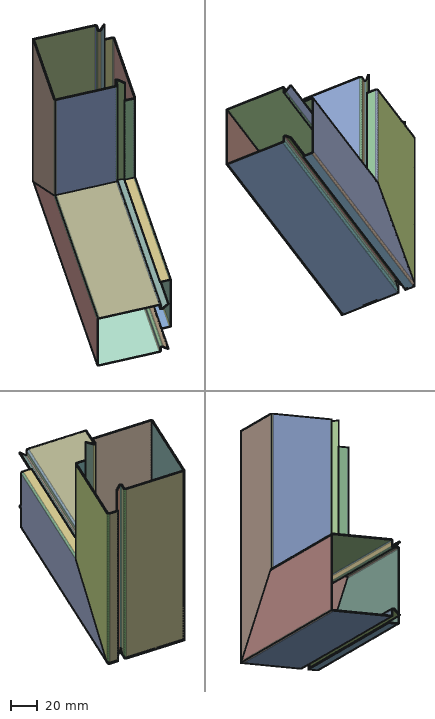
import cadquery as cq
import math

leg_length = 180.0
cover_length = 159.5
leg_width = 60.1
total_depth = 63.7
channel_depth = 50.0
cover_depth = 8.8
sheet = 0.9
corner_radius = 1.6
inner_radius = corner_radius - sheet

bend_radius = 0.5
bend_x = 5.2
bend_y = channel_depth + bend_radius
lip_top = 56.0


def bend_point(radius, angle):
    """Point on the fold of the lip, angle in degrees from the X axis."""
    turn = math.radians(angle)
    return bend_x + radius * math.cos(turn), bend_y + radius * math.sin(turn)


def make_lip():
    """Fold and 45 degree flare along the edge of the flange at X = bend_x."""
    outer_bend = bend_radius + sheet
    inside_end = bend_point(bend_radius, 45)
    outside_end = bend_point(outer_bend, 45)
    flare = lip_top - outside_end[1]
    return (
        cq.Workplane("XY")
        .moveTo(*bend_point(bend_radius, -90))
        .threePointArc(bend_point(bend_radius, -22.5), inside_end)
        .lineTo(inside_end[0] - flare, inside_end[1] + flare)
        .lineTo(outside_end[0] - flare, outside_end[1] + flare)
        .lineTo(*outside_end)
        .threePointArc(bend_point(outer_bend, -22.5), bend_point(outer_bend, -90))
        .close()
        .extrude(leg_length)
    )


def block(x_start, x_end, y_start, y_end, length):
    """Upright block between two X and two Y limits, starting at Z = 0."""
    return (
        cq.Workplane("XY")
        .box(x_end - x_start, y_end - y_start, length, centered=False)
        .translate((x_start, y_start, 0))
    )


def mitre(leg, length):
    """Cut the foot of an upright leg along the 45 degree plane X = Z."""
    keep = (
        cq.Workplane("XZ")
        .polyline([(0, 0), (leg_width, leg_width), (leg_width, length), (0, length)])
        .close()
        .extrude(-total_depth)
    )
    return leg.intersect(keep)


def lay_down(leg):
    """Swap X and Z, turning an upright leg into the horizontal one."""
    return cq.Workplane(leg.val().mirror(cq.Vector(1, 0, -1)))


def make_channel(round_outer_front):
    """Upright channel, open at the back between its two snap lips."""
    channel = block(0, leg_width, 0, channel_depth, leg_length)
    rounded_edges = "|Z" if round_outer_front else "|Z and (>X or >Y)"
    channel = channel.edges(rounded_edges).fillet(corner_radius)
    cavity = block(sheet, leg_width - sheet, sheet, channel_depth - sheet, leg_length)
    cavity = cavity.edges("|Z and >Y").fillet(inner_radius)
    opening = block(bend_x, leg_width - bend_x, sheet, channel_depth, leg_length)
    lip = make_lip()
    opposite_lip = lip.mirror("YZ").translate((leg_width, 0, 0))
    channel = channel.cut(cavity).cut(opening).union(lip).union(opposite_lip)
    return mitre(channel, leg_length)


def make_cover():
    """Upright shallow U-shaped cover, open towards the channel."""
    cover_front = total_depth - cover_depth
    cover = block(0, leg_width, cover_front, total_depth, cover_length)
    cover = cover.edges("|Z and >Y").fillet(corner_radius)
    cavity = block(sheet, leg_width - sheet, cover_front, total_depth - sheet, cover_length)
    cavity = cavity.edges("|Z and >Y").fillet(inner_radius)
    return mitre(cover.cut(cavity), cover_length)


upright_channel = make_channel(round_outer_front=False)
horizontal_channel = lay_down(make_channel(round_outer_front=True))

upright_cover = make_cover()
horizontal_cover = lay_down(upright_cover)

result = cq.Compound.makeCompound([
    upright_channel.val(),
    horizontal_channel.val(),
    upright_cover.val(),
    horizontal_cover.val(),
])